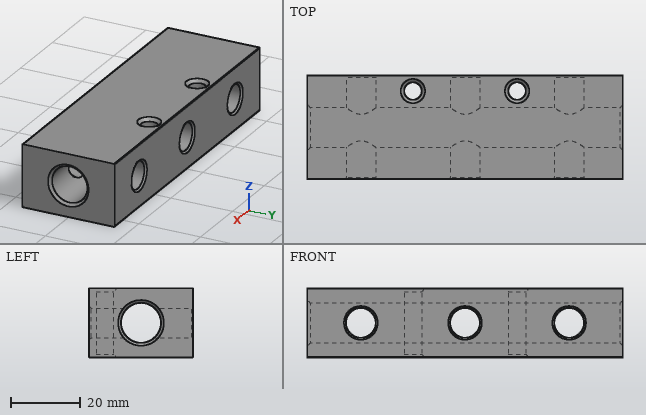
import cadquery as cq

length = 91.0
width = 30.0
height = 20.0
edge_break = 0.2

main_bore, main_mouth = 11.5, 13.2
port_bore, port_mouth = 8.55, 9.7
mount_bore, mount_mouth = 5.0, 7.0

hole_pitch = 30.0
mount_edge_distance = 4.55


def through_hole(plane, depth, bore, mouth):
    """Cutter centred on the plane origin, with a 45 degree countersink at both ends."""
    flare = (mouth - bore) / 2
    half = depth / 2
    profile = [
        (0, -half),
        (mouth / 2, -half),
        (bore / 2, -half + flare),
        (bore / 2, half - flare),
        (mouth / 2, half),
        (0, half),
    ]
    return cq.Workplane(plane).polyline(profile).close().revolve(360, (0, 0), (0, 1))


result = cq.Workplane("XY").box(length, width, height).edges("|X").chamfer(edge_break)

result = result.cut(through_hole("YX", length, main_bore, main_mouth))

port_cutter = through_hole("XY", width, port_bore, port_mouth)
for step in (-1, 0, 1):
    result = result.cut(port_cutter.translate((step * hole_pitch, 0, 0)))

mount_y = width / 2 - mount_edge_distance
mount_cutter = through_hole("XZ", height, mount_bore, mount_mouth)
for side in (-1, 1):
    result = result.cut(mount_cutter.translate((side * hole_pitch / 2, mount_y, 0)))